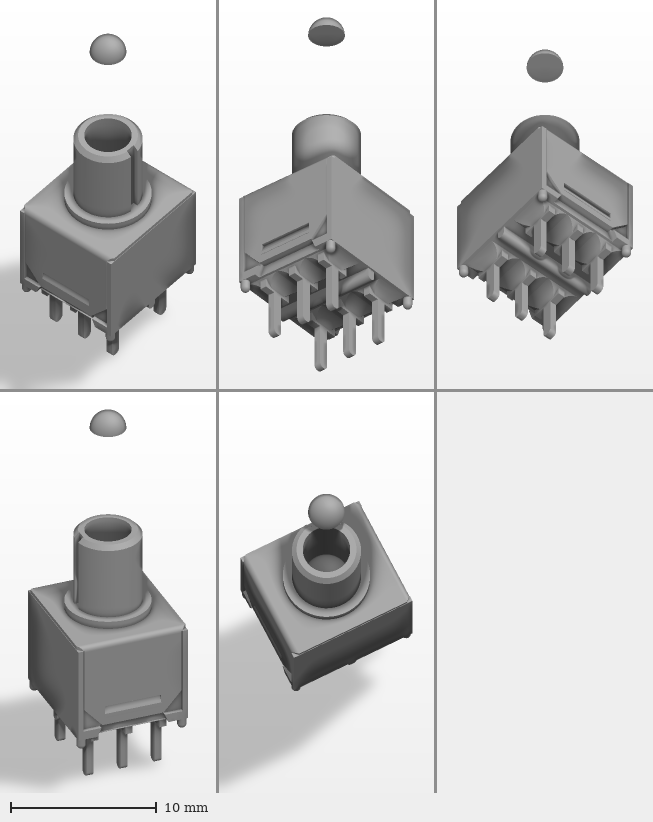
import cadquery as cq


CASE_X = 8.13
CASE_Y = 9.13
SHEET = 0.27
COVER_X = 8.08
CASE_TOP = 7.3
FLAP_SETBACK = 0.03
CORE_TOP = CASE_TOP - SHEET
COVER_Y = CASE_Y - 2 * FLAP_SETBACK
CORE_Y = COVER_Y - 2 * SHEET
RECESS_HALF_X = 3.7
RECESS_BOTTOM = 0.65

FLAP_GAP = 0.08
FLAP_HALF_X = RECESS_HALF_X - FLAP_GAP
FLAP_TAPER_START = 2.32
FLAP_BOTTOM = 0.83
FLAP_TIP_HALF_X = 2.25
FOLD_RADIUS = 0.38

NOTCH_BASE_HALF_X = 2.65
NOTCH_DEPTH = 0.57
NOTCH_LIP = 0.1
NOTCH_LIP_HEIGHT = 0.03

WINDOW_X = 4.17
WINDOW_BOTTOM = 1.45
WINDOW_TOP = 2.3
RAMP_EDGE = 1.7

COLLAR_DIAMETER = 6.0
COLLAR_TOP = 7.86
BUSHING_DIAMETER = 4.77
BUSHING_TOP = 13.46
BUSHING_CHAMFER = 0.32
BORE_DIAMETER = 3.25
KEYWAY_WIDTH = 0.73
KEYWAY_FLOOR_X = 1.97

POST_DIAMETER = 0.65
STANDOFF_HEIGHT = 0.8
RIB_LENGTH = 7.86

PIN_PITCH_X = 2.53
PIN_ROW_Y = 2.53
PIN_X = 0.5
PIN_Y = 0.75
PIN_LENGTH = 4.1
PIN_TIP_RADIUS = 0.32
BLADE_Y = 2.53
BLADE_LENGTH = 0.75

SEAL_HEIGHT = 0.57
SEAL_TOP_Y = 2.75
SEAL_TIP_Y = 1.37
SEAL_SAG_RATIO = 0.25

TIP_DIAMETER = 2.53
OVERALL_HEIGHT = 26.93
TIP_TOP = OVERALL_HEIGHT - PIN_LENGTH


def block(size_x, size_y, bottom, top):
    """Box centred on the Z axis between two heights."""
    return cq.Workplane("XY").workplane(offset=bottom).rect(size_x, size_y).extrude(top - bottom)


def both_sides(shape):
    """A shape on the -Y side together with its mirror image on the +Y side."""
    return shape.union(shape.mirror("XZ"))


def mirrored_outline(right_points):
    """Closed outline from its right half, listed from top to bottom."""
    return right_points + [(-x, height) for x, height in reversed(right_points)]


def make_core():
    core = block(CASE_X, CASE_Y, 0, CORE_TOP)

    recess_depth = (CASE_Y - CORE_Y) / 2
    recess = block(2 * RECESS_HALF_X, recess_depth, RECESS_BOTTOM, CORE_TOP)
    recess = recess.translate((0, (recess_depth - CASE_Y) / 2, 0))

    notch_points = mirrored_outline([(FLAP_TIP_HALF_X, FLAP_BOTTOM), (NOTCH_BASE_HALF_X, 0)])
    notch = (
        cq.Workplane("XZ", origin=(0, NOTCH_DEPTH - CASE_Y / 2, 0))
        .polyline(notch_points).close().extrude(NOTCH_DEPTH)
    )
    lip = block(2 * NOTCH_BASE_HALF_X, NOTCH_LIP, 0, NOTCH_LIP_HEIGHT)
    notch = notch.cut(lip.translate((0, NOTCH_DEPTH - (NOTCH_LIP + CASE_Y) / 2, 0)))
    return core.cut(both_sides(recess)).cut(both_sides(notch))


def make_cover():
    sheet = block(COVER_X, COVER_Y, 0, CASE_TOP).faces(">Z").edges("|X").fillet(FOLD_RADIUS)
    sheet = sheet.cut(block(CASE_X, CORE_Y, 0, CORE_TOP))

    front_points = mirrored_outline([
        (COVER_X / 2, CASE_TOP),
        (COVER_X / 2, CORE_TOP),
        (FLAP_HALF_X, CORE_TOP),
        (FLAP_HALF_X, FLAP_TAPER_START),
        (FLAP_TIP_HALF_X, FLAP_BOTTOM),
    ])
    front = cq.Workplane("XZ").polyline(front_points).close().extrude(CASE_Y / 2, both=True)

    corner = block(COVER_X, COVER_Y, 0, CASE_TOP).edges("|Z").chamfer(FOLD_RADIUS)

    window = block(WINDOW_X, CASE_Y, WINDOW_BOTTOM, WINDOW_TOP)
    return sheet.intersect(front).intersect(corner).cut(window)


def make_ramps():
    floor_y = -CORE_Y / 2
    face_y = -CASE_Y / 2
    ramp = (
        cq.Workplane("YZ")
        .polyline([
            (floor_y, WINDOW_TOP),
            (face_y, RAMP_EDGE),
            (face_y, WINDOW_BOTTOM),
            (floor_y, WINDOW_BOTTOM),
        ])
        .close().extrude(WINDOW_X / 2, both=True)
    )
    return both_sides(ramp)


def make_bushing():
    collar = (
        cq.Workplane("XY").workplane(offset=CASE_TOP)
        .circle(COLLAR_DIAMETER / 2).extrude(COLLAR_TOP - CASE_TOP)
    )
    tube = (
        cq.Workplane("XY").workplane(offset=COLLAR_TOP)
        .circle(BUSHING_DIAMETER / 2).extrude(BUSHING_TOP - COLLAR_TOP)
        .faces(">Z").chamfer(BUSHING_CHAMFER)
    )
    keyway = block(BUSHING_DIAMETER, KEYWAY_WIDTH, COLLAR_TOP, BUSHING_TOP)
    keyway = keyway.translate((KEYWAY_FLOOR_X + BUSHING_DIAMETER / 2, 0, 0))
    bore = (
        cq.Workplane("XY").workplane(offset=CASE_TOP)
        .circle(BORE_DIAMETER / 2).extrude(BUSHING_TOP - CASE_TOP)
    )
    return collar.union(tube.cut(keyway)).cut(bore)


def half_ball(diameter, base):
    """Upper half of a ball, flat side down at the given height."""
    radius = diameter / 2
    ball = cq.Workplane("XY").sphere(radius).intersect(block(diameter, diameter, 0, radius))
    return ball.translate((0, 0, base))


def make_post(x, y):
    radius = POST_DIAMETER / 2
    shoulder = radius - STANDOFF_HEIGHT
    post = cq.Workplane("XY").circle(radius).extrude(shoulder)
    end = cq.Workplane("XY").sphere(radius).translate((0, 0, shoulder))
    return post.union(end).translate((x, y, 0))


def make_rib():
    half = POST_DIAMETER / 2
    shoulder = half - STANDOFF_HEIGHT
    return (
        cq.Workplane("YZ")
        .moveTo(-half, 0).lineTo(-half, shoulder)
        .threePointArc((0, -STANDOFF_HEIGHT), (half, shoulder))
        .lineTo(half, 0).close().extrude(RIB_LENGTH / 2, both=True)
    )


def make_seal():
    half_top_x = PIN_PITCH_X / 2
    half_tip_x = PIN_X / 2
    middle_x = (half_top_x + half_tip_x) / 2
    middle_z = -SEAL_SAG_RATIO * SEAL_HEIGHT
    flared = (
        cq.Workplane("XZ")
        .moveTo(-half_top_x, 0)
        .threePointArc((-middle_x, middle_z), (-half_tip_x, -SEAL_HEIGHT))
        .lineTo(half_tip_x, -SEAL_HEIGHT)
        .threePointArc((middle_x, middle_z), (half_top_x, 0))
        .close().extrude(SEAL_TOP_Y / 2, both=True)
    )
    tapered = (
        cq.Workplane("YZ")
        .polyline(mirrored_outline([(SEAL_TOP_Y / 2, 0), (SEAL_TIP_Y / 2, -SEAL_HEIGHT)]))
        .close().extrude(half_top_x, both=True)
    )
    return flared.intersect(tapered)


def make_terminal(x, y):
    blade = block(PIN_X, BLADE_Y, -BLADE_LENGTH, 0)
    pin = block(PIN_X, PIN_Y, -PIN_LENGTH, 0).faces("<Z").edges("|X").fillet(PIN_TIP_RADIUS)
    return blade.union(pin).union(make_seal()).translate((x, y, 0))


switch = make_core().union(make_cover()).union(make_ramps())
switch = switch.union(make_bushing()).union(half_ball(BORE_DIAMETER, CASE_TOP)).union(make_rib())
post_x = (CASE_X - POST_DIAMETER) / 2
post_y = (CASE_Y - POST_DIAMETER) / 2
for side_x in (-1, 1):
    for side_y in (-1, 1):
        switch = switch.union(make_post(side_x * post_x, side_y * post_y))
for column in (-1, 0, 1):
    for row in (-1, 1):
        switch = switch.union(make_terminal(column * PIN_PITCH_X, row * PIN_ROW_Y))

lever_tip = half_ball(TIP_DIAMETER, TIP_TOP - TIP_DIAMETER / 2)

result = cq.Compound.makeCompound([switch.val(), lever_tip.val()])